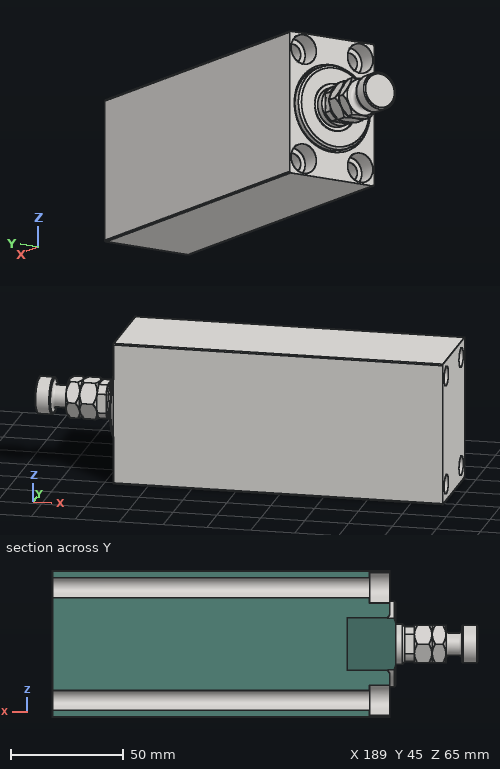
import cadquery as cq
import math


HOUSING_LENGTH = 150.0
HOUSING_WIDTH = 45.0
HOUSING_HEIGHT = 65.0
EDGE_CHAMFER = 0.5
BOLT_SPACING_Y = 30.0
BOLT_SPACING_Z = 50.0
BOLT_HOLE_DIAMETER = 8.7
COUNTERBORE_DIAMETER = 13.5
COUNTERBORE_DEPTH = 9.0
GLAND_BORE_CHAMFER = 1.0

GLAND_DIAMETER = 38.2
GLAND_PROJECTION = 2.6
GLAND_SEAT_DEPTH = 18.9
GLAND_CHAMFER_RADIAL = 1.1
GLAND_CHAMFER_AXIAL = 0.8
WIPER_RECESS_DIAMETER = 21.5
WIPER_RECESS_DEPTH = 0.5

ROD_DIAMETER = 18.0
ROD_FLAT_WIDTH = 15.7
ROD_FLAT_LENGTH = 4.2
ROD_PROJECTION = 10.8
ROD_SHOULDER_CHAMFER = (ROD_DIAMETER - ROD_FLAT_WIDTH) / 2

HEX_ACROSS_FLATS = 16.8
REAR_HEX_LENGTH = 8.0
FRONT_HEX_LENGTH = 6.2
HEX_END_DIAMETER = 16.6
HEAD_DIAMETER = 16.8
HEAD_LENGTH = 7.0
HEAD_FACE_CHAMFER_RADIAL = 0.8
HEAD_FACE_CHAMFER_AXIAL = 0.4
HEAD_REAR_CHAMFER = 0.5
NECK_DIAMETER = 10.0
NECK_FILLET = 1.3
OVERALL_LENGTH = 189.0


def axial_cylinder(start, end, diameter):
    """Cylinder on the X axis between two X positions."""
    return cq.Workplane("YZ", origin=(start, 0, 0)).circle(diameter / 2).extrude(end - start)


def make_housing():
    block = (
        cq.Workplane("XY")
        .box(HOUSING_LENGTH, HOUSING_WIDTH, HOUSING_HEIGHT, centered=(False, True, True))
        .edges("|X")
        .chamfer(EDGE_CHAMFER)
    )
    block = block.cut(axial_cylinder(0, GLAND_SEAT_DEPTH, GLAND_DIAMETER))
    block = block.faces("<X").edges("%CIRCLE").chamfer(GLAND_BORE_CHAMFER)
    return (
        block.faces("<X")
        .workplane(origin=(0, 0, 0))
        .rarray(BOLT_SPACING_Y, BOLT_SPACING_Z, 2, 2)
        .cboreHole(BOLT_HOLE_DIAMETER, COUNTERBORE_DIAMETER, COUNTERBORE_DEPTH)
    )


def make_gland():
    gland = (
        axial_cylinder(-GLAND_PROJECTION, GLAND_SEAT_DEPTH, GLAND_DIAMETER)
        .faces("<X")
        .chamfer(GLAND_CHAMFER_AXIAL, GLAND_CHAMFER_RADIAL)
    )
    bore = axial_cylinder(-GLAND_PROJECTION, GLAND_SEAT_DEPTH, ROD_DIAMETER)
    wiper_recess = axial_cylinder(
        -GLAND_PROJECTION, WIPER_RECESS_DEPTH - GLAND_PROJECTION, WIPER_RECESS_DIAMETER
    )
    return gland.cut(bore).cut(wiper_recess)


def make_rod():
    shoulder = ROD_FLAT_LENGTH - ROD_PROJECTION
    shaft = axial_cylinder(shoulder, GLAND_SEAT_DEPTH, ROD_DIAMETER)
    shaft = shaft.faces("<X").chamfer(ROD_SHOULDER_CHAMFER)
    square = cq.Workplane("YZ", origin=(-ROD_PROJECTION, 0, 0)).rect(ROD_FLAT_WIDTH, ROD_FLAT_WIDTH)
    wrench_end = square.extrude(ROD_FLAT_LENGTH).intersect(
        axial_cylinder(-ROD_PROJECTION, shoulder, ROD_DIAMETER)
    )
    return shaft.union(wrench_end)


def make_hexagon(start, length):
    """Hexagon with its corners cut back by 45 degree cones at both ends."""
    corner_diameter = HEX_ACROSS_FLATS / math.cos(math.radians(30))
    corner_chamfer = (corner_diameter - HEX_END_DIAMETER) / 2
    prism = cq.Workplane("YZ", origin=(start, 0, 0)).polygon(6, corner_diameter).extrude(length)
    blank = axial_cylinder(start, start + length, corner_diameter)
    for end_face in ("<X", ">X"):
        blank = blank.faces(end_face).chamfer(corner_chamfer)
    return prism.intersect(blank)


def make_coupling():
    tip = HOUSING_LENGTH - OVERALL_LENGTH
    neck_start = tip + HEAD_LENGTH
    rear_hex_start = -ROD_PROJECTION - REAR_HEX_LENGTH
    front_hex_start = rear_hex_start - FRONT_HEX_LENGTH
    neck_radius = NECK_DIAMETER / 2
    head_radius = HEAD_DIAMETER / 2
    fillet_radius = neck_radius + NECK_FILLET
    arc_dip = NECK_FILLET * (1 - math.sqrt(0.5))
    head_and_neck = (
        cq.Workplane("XY")
        .moveTo(tip, 0)
        .lineTo(tip, head_radius - HEAD_FACE_CHAMFER_RADIAL)
        .lineTo(tip + HEAD_FACE_CHAMFER_AXIAL, head_radius)
        .lineTo(neck_start - HEAD_REAR_CHAMFER, head_radius)
        .lineTo(neck_start, head_radius - HEAD_REAR_CHAMFER)
        .lineTo(neck_start, fillet_radius)
        .threePointArc(
            (neck_start + arc_dip, neck_radius + arc_dip),
            (neck_start + NECK_FILLET, neck_radius),
        )
        .lineTo(front_hex_start - NECK_FILLET, neck_radius)
        .threePointArc(
            (front_hex_start - arc_dip, neck_radius + arc_dip),
            (front_hex_start, fillet_radius),
        )
        .lineTo(front_hex_start, 0)
        .close()
        .revolve(360, (0, 0, 0), (1, 0, 0))
    )
    front_hex = make_hexagon(front_hex_start, FRONT_HEX_LENGTH)
    rear_hex = make_hexagon(rear_hex_start, REAR_HEX_LENGTH)
    return head_and_neck.union(front_hex).union(rear_hex)


housing = make_housing()
gland = make_gland()
rod = make_rod()
coupling = make_coupling()

bodies = [housing, gland, rod, coupling]
result = cq.Compound.makeCompound([body.solids().val() for body in bodies])